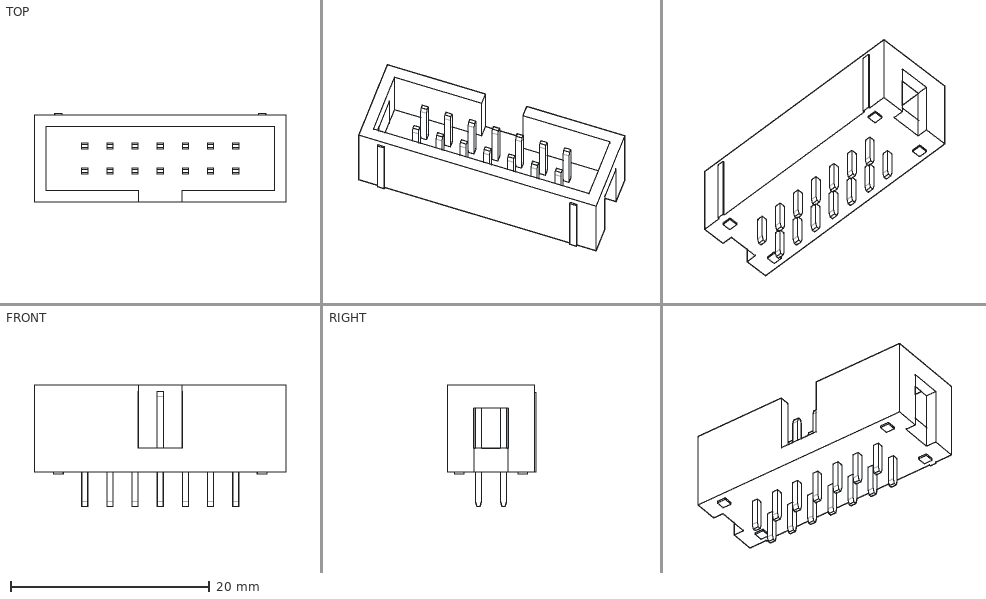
import cadquery as cq


length = 25.4
depth = 8.8
height = 8.81
wall = 1.17
floor_height = 2.41

slot_width = 4.4

window_width = 3.45
window_top = 6.48

columns = 7
rows = 2
pitch = 2.55
pin_size = 0.64
pin_top = 8.13
pin_below = 3.48
tip_length = 0.5
tip_inset = 0.15

corner_inset_x = 2.41
corner_inset_y = 1.2
foot_size = 1.0
foot_height = 0.2
rib_width = 0.74
rib_projection = 0.15
rib_height = 8.05

corner_x = length / 2 - corner_inset_x
corner_y = depth / 2 - corner_inset_y


def make_housing():
    """Open-topped box with the keying slot and the two end windows."""
    body = cq.Workplane("XY").box(length, depth, height, centered=(True, True, False))
    cavity = (
        cq.Workplane("XY", origin=(0, 0, floor_height))
        .rect(length - 2 * wall, depth - 2 * wall)
        .extrude(height - floor_height)
    )
    slot = (
        cq.Workplane("XY", origin=(0, (wall - depth) / 2, floor_height))
        .rect(slot_width, wall)
        .extrude(height - floor_height)
    )
    body = body.cut(cavity).cut(slot)
    for side in (-1, 1):
        window = (
            cq.Workplane("XY", origin=(side * (length - wall) / 2, 0, 0))
            .rect(wall, window_width)
            .extrude(window_top)
        )
        body = body.cut(window)
    return body


def make_pins():
    """Grid of square pins, tapered at both ends on their Y faces only."""
    half = pin_size / 2
    tip_half = half - tip_inset
    profile = [
        (-tip_half, -pin_below),
        (tip_half, -pin_below),
        (half, -pin_below + tip_length),
        (half, pin_top - tip_length),
        (tip_half, pin_top),
        (-tip_half, pin_top),
        (-half, pin_top - tip_length),
        (-half, -pin_below + tip_length),
    ]
    pin = cq.Workplane("YZ").polyline(profile).close().extrude(half, both=True)
    pins = cq.Workplane("XY")
    for column in range(columns):
        for row in range(rows):
            x = (column - (columns - 1) / 2) * pitch
            y = (row - (rows - 1) / 2) * pitch
            pins = pins.add(pin.translate((x, y, 0)))
    return pins.combine()


def make_feet():
    """Four low square stand-off feet below the housing."""
    return (
        cq.Workplane("XY")
        .rect(2 * corner_x, 2 * corner_y, forConstruction=True)
        .vertices()
        .rect(foot_size, foot_size)
        .extrude(-foot_height)
    )


def make_rib(x):
    """Shallow vertical rib on the +Y face, starting at the underside."""
    return (
        cq.Workplane("XY", origin=(x, (depth + rib_projection) / 2, 0))
        .rect(rib_width, rib_projection)
        .extrude(rib_height)
    )


result = make_housing().union(make_pins()).union(make_feet())
for side in (-1, 1):
    result = result.union(make_rib(side * corner_x))